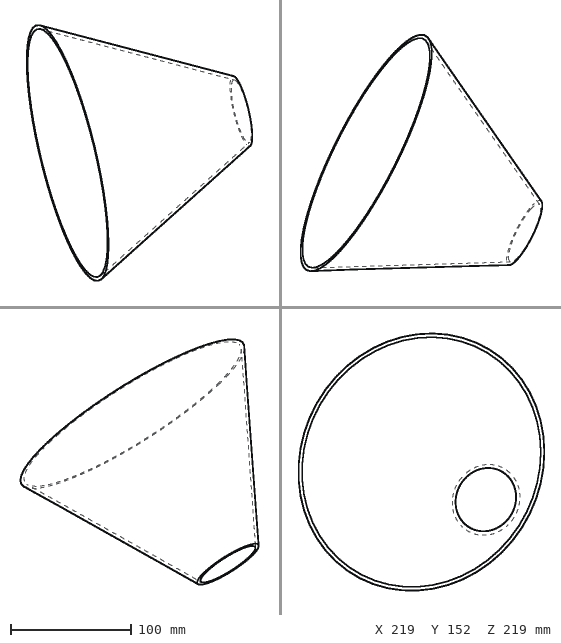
import cadquery as cq

wide_diameter = 219.0
narrow_diameter = 60.3
length = 152.0
radial_wall = 3.3

wide_radius = wide_diameter / 2
narrow_radius = narrow_diameter / 2

wall_section = (
    cq.Workplane("XY")
    .moveTo(wide_radius - radial_wall, 0)
    .lineTo(wide_radius, 0)
    .lineTo(narrow_radius, length)
    .lineTo(narrow_radius - radial_wall, length)
    .close()
)

result = wall_section.revolve(360, (0, 0, 0), (0, 1, 0))